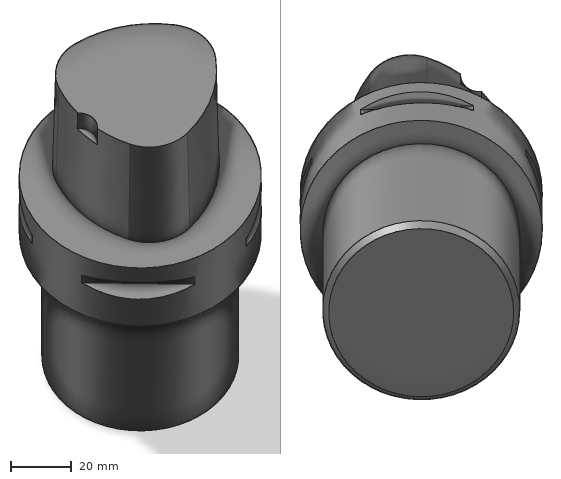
import cadquery as cq
import math

total_height = 143.0
flange_top = 95.0
flange_edge_bottom = 65.0
body_top = 62.8

body_radius = 65.0 / 2
flange_radius = 80.0 / 2
bottom_chamfer = 2.0

lobe_reach = 29.5
flank_reach = 25.5
lobe_radius = 17.2
shank_inset = 1.0
lobe_angles = (90, 210, 330)

groove_height = 83.2
groove_floor_distance = 35.3
groove_floor_width = 3.7
groove_wall_angle = 29
groove_angles = (45, 135, 225, 315)

notch_radius = 6.0
notch_center_y = -28.0
notch_depth = 8.0


def polar(radius, angle):
    return (radius * math.cos(math.radians(angle)), radius * math.sin(math.radians(angle)))


def shank_wire(inset, height):
    """Closed outline of three lobes joined by tangent flank arcs."""
    lobe = lobe_radius - inset
    tip = lobe_reach - inset
    flank = flank_reach - inset
    lobe_center = tip - lobe

    side = lobe_center * math.sin(math.radians(60))
    drop = flank - lobe_center * math.cos(math.radians(60))
    flank_radius = (side**2 + drop**2 - lobe**2) / (2 * (drop - lobe))

    half_sweep = 60 - math.degrees(math.asin(side / (flank_radius - lobe)))

    def lobe_point(lobe_angle, turn):
        center_x, center_y = polar(lobe_center, lobe_angle)
        offset_x, offset_y = polar(lobe, lobe_angle + turn)
        return (center_x + offset_x, center_y + offset_y)

    outline = cq.Workplane("XY", origin=(0, 0, height))
    outline = outline.moveTo(*lobe_point(lobe_angles[0], -half_sweep))
    for angle in lobe_angles:
        outline = outline.threePointArc(polar(tip, angle), lobe_point(angle, half_sweep))
        outline = outline.threePointArc(polar(flank, angle + 60), lobe_point(angle + 120, -half_sweep))
    return outline.wire().val()


def turned_body():
    profile = [
        (0, 0),
        (body_radius - bottom_chamfer, 0),
        (body_radius, bottom_chamfer),
        (body_radius, body_top),
        (flange_radius, flange_edge_bottom),
        (flange_radius, flange_top),
        (0, flange_top),
    ]
    return cq.Workplane("XZ").polyline(profile).close().revolve(360, (0, 0), (0, 1))


def shank():
    base = shank_wire(0, flange_top)
    tip = shank_wire(shank_inset, total_height)
    return cq.Workplane(cq.Solid.makeLoft([base, tip], True))


def gripper_groove(angle):
    """Straight groove with a flat floor and walls that flare outward."""
    floor_half = groove_floor_width / 2
    cut_depth = flange_radius - groove_floor_distance
    mouth_half = floor_half + cut_depth * math.tan(math.radians(groove_wall_angle))
    section = [
        (groove_floor_distance, groove_height - floor_half),
        (flange_radius, groove_height - mouth_half),
        (flange_radius, groove_height + mouth_half),
        (groove_floor_distance, groove_height + floor_half),
    ]
    groove = cq.Workplane("XZ").polyline(section).close().extrude(flange_radius, both=True)
    return groove.rotate((0, 0, 0), (0, 0, 1), angle)


def tip_notch():
    floor = cq.Workplane("XY", origin=(0, notch_center_y, total_height - notch_depth))
    return floor.circle(notch_radius).extrude(notch_depth)


result = turned_body().union(shank()).cut(tip_notch())
for groove_angle in groove_angles:
    result = result.cut(gripper_groove(groove_angle))